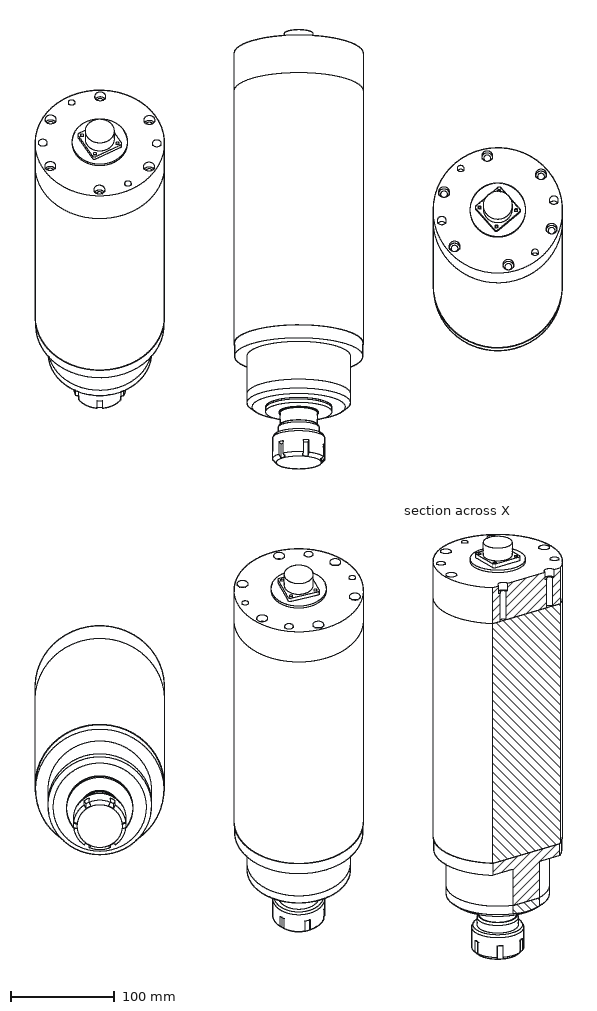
import cadquery as cq
import math


NUT_D = 50.6
NUT_HEIGHT = 27.0
NUT_END_CHAMFER = 3.5
NUT_TOP_CHAMFER_HEIGHT = 2.5
NUT_TOP_CHAMFER_DEPTH = 1.3
NUT_SLOT_COUNT = 6
NUT_SLOT_WIDTH = 5.5
NUT_SLOT_HEIGHT = 16.0
NUT_SLOT_FLOOR_HEIGHT = 14.4
NUT_SLOT_DEPTH = 3.2

SHAFT_D = 36.0
SHAFT_LENGTH = 24.0
COLLAR_D = 40.0
COLLAR_HEIGHT = 8.0
COLLAR_CHAMFER_HEIGHT = 2.5
COLLAR_CHAMFER_DEPTH = 1.3
SHOULDER_D = 38.0
SHOULDER_HEIGHT = 1.0

SEAL_D = 64.0
SEAL_HEIGHT = 3.5

NOSE_D = 100.0
COVER_HEIGHT = 13.0
COVER_CHAMFER_HEIGHT = 4.0
COVER_CHAMFER_DEPTH = 5.0
COVER_BOSS_D = SEAL_D
COVER_BOSS_HEIGHT = 1.5

NOSE_HEIGHT = 38.0
FLANGE_D = 124.0
FLANGE_HEIGHT = 13.0

HOUSING_D = 125.0
HOUSING_HEIGHT = 254.0
CAP_HEIGHT = 38.0
CAP_BOSS_D = 53.5
CAP_BOSS_HEIGHT = 2.5

CAP_HOLE_CIRCLE_R = 55.0
BOLT_COUNT = 6
BOLT_HOLE_D = 6.4
BOLT_HEAD_D = 10.5
BOLT_HEAD_DEPTH = 8.0
BOLT_START_ANGLE = 30.0
JACK_HOLE_D = 8.4
JACK_HOLE_DEPTH = 20.0
JACK_HOLE_ANGLES = (60.0, 240.0)
PIN_HOLE_D = 6.4
PIN_HOLE_DEPTH = 15.0
PIN_HOLE_ANGLES = (0.0, 180.0)
DRILL_POINT_ANGLE = 118.0

PLATE_SIDE = 32.0
PLATE_THICKNESS = 4.0
PLATE_CORNER_R = 2.0
PLATE_HOLE_D = 3.0
PLATE_HOLE_PITCH = 25.0
PLUG_D = 28.0
PLUG_HEIGHT = 13.5

SHAFT_Z = NUT_HEIGHT
SEAL_Z = SHAFT_Z + SHAFT_LENGTH
COVER_BOSS_Z = SEAL_Z + SEAL_HEIGHT
COVER_Z = COVER_BOSS_Z + COVER_BOSS_HEIGHT
NOSE_Z = COVER_Z + COVER_HEIGHT
FLANGE_Z = NOSE_Z + NOSE_HEIGHT
HOUSING_Z = FLANGE_Z + FLANGE_HEIGHT
CAP_Z = HOUSING_Z + HOUSING_HEIGHT
CAP_TOP_Z = CAP_Z + CAP_HEIGHT
PLATE_Z = CAP_TOP_Z + CAP_BOSS_HEIGHT
PLUG_Z = PLATE_Z + PLATE_THICKNESS


def disc(diameter, height, base_z):
    """Plain cylinder on the spindle axis."""
    return cq.Workplane("XY").workplane(offset=base_z).circle(diameter / 2).extrude(height)


def chamfer_rim(body, face, height, depth):
    """Chamfer the edges of an end face: height along the axis, depth inwards."""
    rim_z = body.faces(face).val().Center().z
    is_top = face == ">Z"
    radius = body.val().BoundingBox().xlen / 2
    inner_z = rim_z - height if is_top else rim_z + height
    corner = [(radius, inner_z), (radius, rim_z), (radius - depth, rim_z)]
    cutter = cq.Workplane("XZ").polyline(corner).close().revolve(360, (0, 0, 0), (0, 1, 0))
    return body.cut(cutter)


def polar_point(radius, angle):
    """X and Y of a point at a radius and an angle in degrees."""
    return (radius * math.cos(math.radians(angle)), radius * math.sin(math.radians(angle)))


def drilled_hole(diameter, depth):
    """Cutter for a blind hole with a drill point, opening at Z = 0."""
    radius = diameter / 2
    tip = radius / math.tan(math.radians(DRILL_POINT_ANGLE / 2))
    outline = [(0, 0), (radius, 0), (radius, -depth), (0, -depth - tip)]
    return cq.Workplane("XZ").polyline(outline).close().revolve(360, (0, 0, 0), (0, 1, 0))


def make_nut():
    nut = disc(NUT_D, NUT_HEIGHT, 0)
    nut = chamfer_rim(nut, "<Z", NUT_END_CHAMFER, NUT_END_CHAMFER)
    nut = chamfer_rim(nut, ">Z", NUT_TOP_CHAMFER_HEIGHT, NUT_TOP_CHAMFER_DEPTH)
    slot_floor_r = NUT_D / 2 - NUT_SLOT_DEPTH
    slot_outer_r = NUT_D / 2
    slot_outline = [
        (slot_floor_r, 0),
        (slot_outer_r, 0),
        (slot_outer_r, NUT_SLOT_HEIGHT),
        (slot_floor_r, NUT_SLOT_FLOOR_HEIGHT),
    ]
    slot = cq.Workplane("XZ").polyline(slot_outline).close().extrude(NUT_SLOT_WIDTH / 2, both=True)
    for i in range(NUT_SLOT_COUNT):
        angle = 90 + i * 360 / NUT_SLOT_COUNT
        nut = nut.cut(slot.rotate((0, 0, 0), (0, 0, 1), angle))
    return nut


def make_shaft():
    collar = disc(COLLAR_D, COLLAR_HEIGHT + COLLAR_CHAMFER_HEIGHT, SHAFT_Z)
    collar = chamfer_rim(collar, ">Z", COLLAR_CHAMFER_HEIGHT, COLLAR_CHAMFER_DEPTH)
    stem = disc(SHAFT_D, SHAFT_LENGTH, SHAFT_Z)
    shoulder = disc(SHOULDER_D, SHOULDER_HEIGHT, SEAL_Z - SHOULDER_HEIGHT)
    return collar.union(stem).union(shoulder)


def make_front_cover():
    cover = disc(NOSE_D, COVER_HEIGHT, COVER_Z)
    cover = chamfer_rim(cover, "<Z", COVER_CHAMFER_HEIGHT, COVER_CHAMFER_DEPTH)
    return cover.union(disc(COVER_BOSS_D, COVER_BOSS_HEIGHT, COVER_BOSS_Z))


def make_bearing_housing():
    nose = disc(NOSE_D, NOSE_HEIGHT, NOSE_Z)
    return nose.union(disc(FLANGE_D, FLANGE_HEIGHT, FLANGE_Z))


def make_rear_cap():
    cap = disc(HOUSING_D, CAP_HEIGHT, CAP_Z)
    cap = cap.union(disc(CAP_BOSS_D, CAP_BOSS_HEIGHT, CAP_TOP_Z))

    bolt_hole = disc(BOLT_HOLE_D, CAP_HEIGHT, -CAP_HEIGHT)
    bolt_hole = bolt_hole.union(disc(BOLT_HEAD_D, BOLT_HEAD_DEPTH, -BOLT_HEAD_DEPTH))
    bolt_angles = [BOLT_START_ANGLE + i * 360 / BOLT_COUNT for i in range(BOLT_COUNT)]
    hole_patterns = [
        (bolt_hole, bolt_angles),
        (drilled_hole(JACK_HOLE_D, JACK_HOLE_DEPTH), JACK_HOLE_ANGLES),
        (drilled_hole(PIN_HOLE_D, PIN_HOLE_DEPTH), PIN_HOLE_ANGLES),
    ]
    for cutter, angles in hole_patterns:
        for angle in angles:
            x, y = polar_point(CAP_HOLE_CIRCLE_R, angle)
            cap = cap.cut(cutter.translate((x, y, CAP_TOP_Z)))
    return cap


def make_connector():
    plate = (
        cq.Workplane("XY").workplane(offset=PLATE_Z)
        .rect(PLATE_SIDE, PLATE_SIDE)
        .extrude(PLATE_THICKNESS)
        .edges("|Z").fillet(PLATE_CORNER_R)
        .faces(">Z").workplane()
        .rect(PLATE_HOLE_PITCH, PLATE_HOLE_PITCH, forConstruction=True).vertices()
        .hole(PLATE_HOLE_D)
    )
    return plate.union(disc(PLUG_D, PLUG_HEIGHT, PLUG_Z))


nut = make_nut()
shaft = make_shaft()
seal_ring = disc(SEAL_D, SEAL_HEIGHT, SEAL_Z)
front_cover = make_front_cover()
bearing_housing = make_bearing_housing()
motor_housing = disc(HOUSING_D, HOUSING_HEIGHT, HOUSING_Z)
rear_cap = make_rear_cap()
connector = make_connector()

bodies = [
    nut, shaft, seal_ring, front_cover,
    bearing_housing, motor_housing, rear_cap, connector,
]
result = cq.Compound.makeCompound([body.val() for body in bodies])